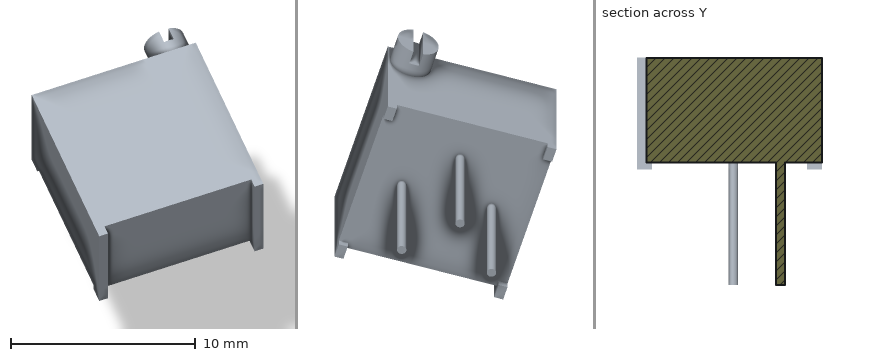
import cadquery as cq

total_length = 11.55
body_width = 9.54
total_height = 12.32

screw_length = 1.52
body_length = total_length - screw_length
body_height = 6.09
foot_height = 0.38
foot_length = 0.83
rail_width = 0.5
recess_depth = 0.5

screw_diameter = 2.3
screw_inset = 1.27
slot_width = 0.55
slot_depth = 0.76

pin_diameter = 0.5
pin_pitch = 2.54
middle_pin_x = 2.28
pin_length = total_height - body_height + foot_height
outer_pin_x = middle_pin_x + pin_pitch


def box(x, y, z, length, width, height):
    """Box with its lowest corner at (x, y, z)."""
    return cq.Workplane("XY").box(length, width, height, centered=False).translate((x, y, z))


def make_housing():
    """Block on four corner feet, recessed between two rails on the high X face."""
    gap_width = body_width - 2 * rail_width
    housing = box(0, 0, 0, body_length, body_width, body_height)
    recess = box(body_length - recess_depth, rail_width, 0, recess_depth, gap_width, body_height)
    lengthwise_gap = box(foot_length, 0, 0, body_length - 2 * foot_length, body_width, foot_height)
    crosswise_gap = box(0, rail_width, 0, body_length, gap_width, foot_height)
    return housing.cut(recess).cut(lengthwise_gap).cut(crosswise_gap)


def make_screw():
    """Round screw head with a vertical screwdriver slot across its end."""
    center_y = body_width - screw_inset
    center_z = body_height - screw_inset
    head = (
        cq.Workplane("YZ", origin=(-screw_length, center_y, center_z))
        .circle(screw_diameter / 2)
        .extrude(screw_length)
    )
    slot = box(
        -screw_length, center_y - slot_width / 2, center_z - screw_diameter / 2,
        slot_depth, slot_width, screw_diameter,
    )
    return head.cut(slot)


def make_pins():
    """Three round pins hanging from the underside of the housing."""
    middle_y = body_width / 2
    places = [
        (outer_pin_x, middle_y - pin_pitch),
        (middle_pin_x, middle_y),
        (outer_pin_x, middle_y + pin_pitch),
    ]
    return (
        cq.Workplane("XY", origin=(0, 0, foot_height))
        .pushPoints(places)
        .circle(pin_diameter / 2)
        .extrude(-pin_length)
    )


result = make_housing().union(make_screw()).union(make_pins())